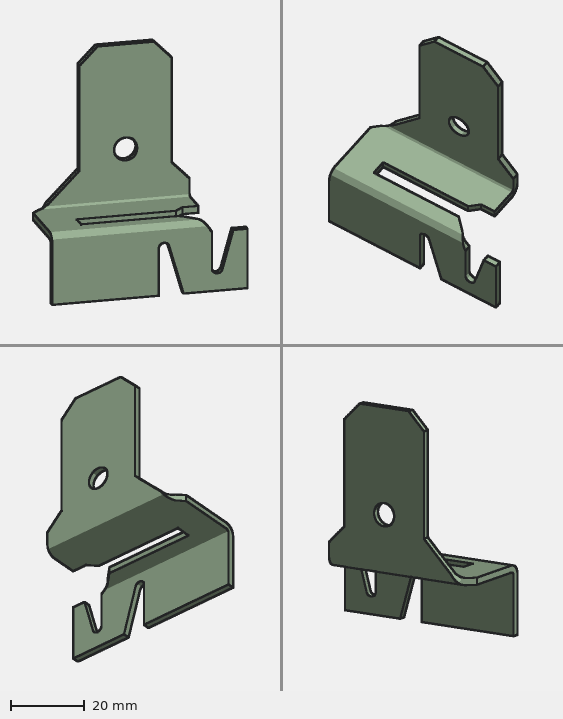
import cadquery as cq
import math


thickness = 2.0
inner_radius = 1.0
outer_radius = inner_radius + thickness
width = 25.0
length = 55.0
height = 65.0
web_top = 20.0
bracket_end = 45.0

plate_bend_x = outer_radius
plate_bend_z = web_top - thickness + outer_radius
flange_bend_x = width - outer_radius
flange_bend_z = web_top - outer_radius

bend_end_shift = 3.0
web_corner_chamfer = 5.0
plate_bend_start = web_corner_chamfer
web_bend_start = plate_bend_start - bend_end_shift

tab_near = 14.0
tab_far = 40.0
tab_base_z = 30.0
tab_chamfer = 5.0
shoulder_drop = bracket_end - tab_far
hole_diameter = 6.5
hole_y = (tab_near + tab_far) / 2
hole_z = 35.0

slot_near_x = 13.5
slot_far_x = 18.0
slot_bottom_y = 10.0
slot_top_y = 38.0
mouth_chamfer = 2.5

notch_radius = 1.5
upper_notch_wall = bracket_end
upper_notch_mouth = 51.0
upper_notch_tip = 5.0
lower_notch_wall = 30.0
lower_notch_mouth = 37.0
lower_notch_tip = 15.0

QUARTER_TURN = 90.0
PLATE_SIDE_ANGLE = 180.0
FLANGE_SIDE_ANGLE = 0.0


def polar(radius, angle):
    """Point at a radius and an angle in degrees, measured from X towards Z."""
    turn = math.radians(angle)
    return (radius * math.cos(turn), radius * math.sin(turn))


def quarter_ring(axis_x, axis_z, end_y, start_angle, r_in, r_out):
    """Quarter-ring profile about a bend axis, in the XZ plane at end_y (extrudes towards -Y)."""
    mid_angle = start_angle + QUARTER_TURN / 2
    end_angle = start_angle + QUARTER_TURN
    return (
        cq.Workplane("XZ", origin=(axis_x, end_y, axis_z))
        .moveTo(*polar(r_in, start_angle))
        .lineTo(*polar(r_out, start_angle))
        .threePointArc(polar(r_out, mid_angle), polar(r_out, end_angle))
        .lineTo(*polar(r_in, end_angle))
        .threePointArc(polar(r_in, mid_angle), polar(r_in, start_angle))
        .close()
    )


def bend(axis_x, axis_z, start_y, start_angle):
    """Quarter-round bend from start_y to the far end of the bracket."""
    profile = quarter_ring(axis_x, axis_z, bracket_end, start_angle, inner_radius, outer_radius)
    return profile.extrude(bracket_end - start_y)


def slanted_end(axis_x, axis_z, end_y, start_angle):
    """Cutter that twists a quarter turn about the bend axis, giving a bend a helical end face."""
    margin = inner_radius / 2
    profile = quarter_ring(
        axis_x, axis_z, end_y, start_angle, inner_radius - margin, outer_radius + margin
    )
    return profile.twistExtrude(bend_end_shift, QUARTER_TURN)


def upright_plate():
    outline = [
        (plate_bend_start, plate_bend_z),
        (tab_near, tab_base_z),
        (tab_near, height - tab_chamfer),
        (tab_near + tab_chamfer, height),
        (tab_far - tab_chamfer, height),
        (tab_far, height - tab_chamfer),
        (tab_far, tab_base_z),
        (bracket_end, tab_base_z - shoulder_drop),
        (bracket_end, plate_bend_z),
    ]
    plate = cq.Workplane("YZ").polyline(outline).close().extrude(thickness)
    hole = cq.Workplane("YZ").center(hole_y, hole_z).circle(hole_diameter / 2).extrude(thickness)
    return plate.cut(hole)


def web():
    mouth_x = slot_near_x - mouth_chamfer
    far_edge_rise = flange_bend_x - slot_far_x
    outline = [
        (plate_bend_x, web_bend_start),
        (web_corner_chamfer, 0),
        (flange_bend_x, 0),
        (flange_bend_x, slot_top_y + far_edge_rise),
        (slot_far_x, slot_top_y),
        (slot_far_x, slot_bottom_y),
        (slot_near_x, slot_bottom_y),
        (slot_near_x, slot_top_y),
        (mouth_x, slot_top_y + mouth_chamfer),
        (mouth_x, bracket_end),
        (plate_bend_x, bracket_end),
    ]
    base = cq.Workplane("XY", origin=(0, 0, web_top - thickness))
    return base.polyline(outline).close().extrude(thickness)


def flange_notch(wall_y, mouth_y, mouth_z, tip_z):
    """Notch with a straight wall at wall_y and a slanted wall tangent to its round tip."""
    opening = math.copysign(1, mouth_z - tip_z)
    center_y = wall_y + notch_radius
    center_z = tip_z + opening * notch_radius
    run = mouth_y - center_y
    rise = abs(mouth_z - center_z)
    tangent_angle = math.atan2(rise, run) - math.acos(notch_radius / math.hypot(run, rise))
    tangent_point = (
        center_y + notch_radius * math.cos(tangent_angle),
        center_z + opening * notch_radius * math.sin(tangent_angle),
    )
    return (
        cq.Workplane("YZ", origin=(width - thickness, 0, 0))
        .moveTo(mouth_y, mouth_z)
        .lineTo(*tangent_point)
        .threePointArc((center_y, tip_z), (wall_y, center_z))
        .lineTo(wall_y, mouth_z)
        .close()
        .extrude(thickness)
    )


def flange():
    plate = cq.Workplane("XY", origin=(width - thickness, 0, 0)).box(
        thickness, length, flange_bend_z, centered=False
    )
    upper_notch = flange_notch(upper_notch_wall, upper_notch_mouth, flange_bend_z, upper_notch_tip)
    lower_notch = flange_notch(lower_notch_wall, lower_notch_mouth, 0, lower_notch_tip)
    return plate.cut(upper_notch).cut(lower_notch)


def plate_bend():
    body = bend(plate_bend_x, plate_bend_z, web_bend_start, PLATE_SIDE_ANGLE)
    cutter_angle = PLATE_SIDE_ANGLE - QUARTER_TURN
    return body.cut(slanted_end(plate_bend_x, plate_bend_z, plate_bend_start, cutter_angle))


def flange_bend():
    body = bend(flange_bend_x, flange_bend_z, 0, FLANGE_SIDE_ANGLE)
    return body.cut(slanted_end(flange_bend_x, flange_bend_z, bracket_end, FLANGE_SIDE_ANGLE))


result = upright_plate().union(plate_bend()).union(web()).union(flange_bend()).union(flange())